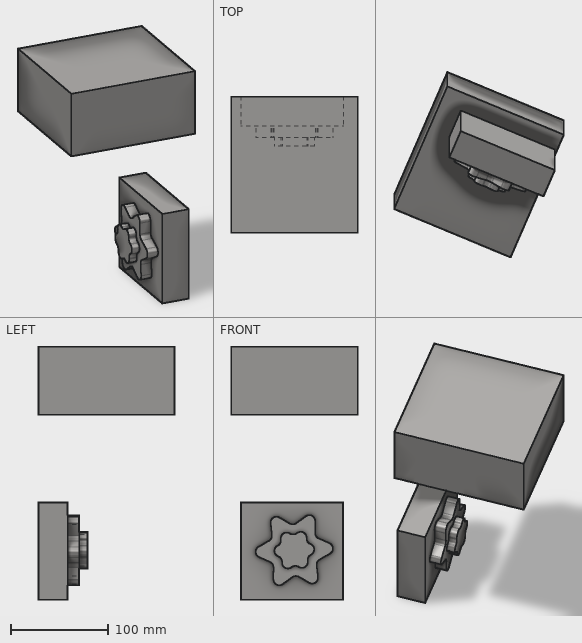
import cadquery as cq
import math

block_width = 130
block_depth = 140
block_height = 70

plate_width = 105
plate_thickness = 30
plate_height = 100
plate_side_inset = 10
gap_below_block = 90

star_points = 6
star_turn = 2.85
star_root_ratio = 0.54
star_corner_radius = 6
large_star_radius = 47
large_star_thickness = 12
small_star_radius = 27.7
small_star_thickness = 8.7
star_center_height = 51
star_center_inset = 54.8

block_left = -block_width / 2
block_back = block_depth / 2
block_bottom = plate_height + gap_below_block
plate_left = block_left + plate_side_inset
star_center_x = plate_left + star_center_inset
plate_front = block_back - plate_thickness


def make_block():
    return cq.Workplane("XY").box(
        block_width, block_depth, block_height, centered=(True, True, False)
    ).translate((0, 0, block_bottom))


def make_star(tip_radius, thickness, back_y):
    """A rounded star whose back face lies at back_y and which grows toward -Y."""
    corners = []
    for i in range(2 * star_points):
        radius = tip_radius if i % 2 == 0 else tip_radius * star_root_ratio
        angle = math.radians(star_turn + i * 180 / star_points)
        corners.append((radius * math.cos(angle), radius * math.sin(angle)))
    return (
        cq.Workplane("XZ", origin=(star_center_x, back_y, star_center_height))
        .polyline(corners)
        .close()
        .extrude(thickness)
        .edges("|Y")
        .fillet(star_corner_radius)
    )


def make_star_plate():
    plate = cq.Workplane("XY").box(
        plate_width, plate_thickness, plate_height, centered=False
    ).translate((plate_left, plate_front, 0))
    large_star = make_star(large_star_radius, large_star_thickness, plate_front)
    small_star_back = plate_front - large_star_thickness
    small_star = make_star(small_star_radius, small_star_thickness, small_star_back)
    return plate.union(large_star).union(small_star)


block = make_block()
star_plate = make_star_plate()

result = cq.Compound.makeCompound([block.val(), star_plate.val()])